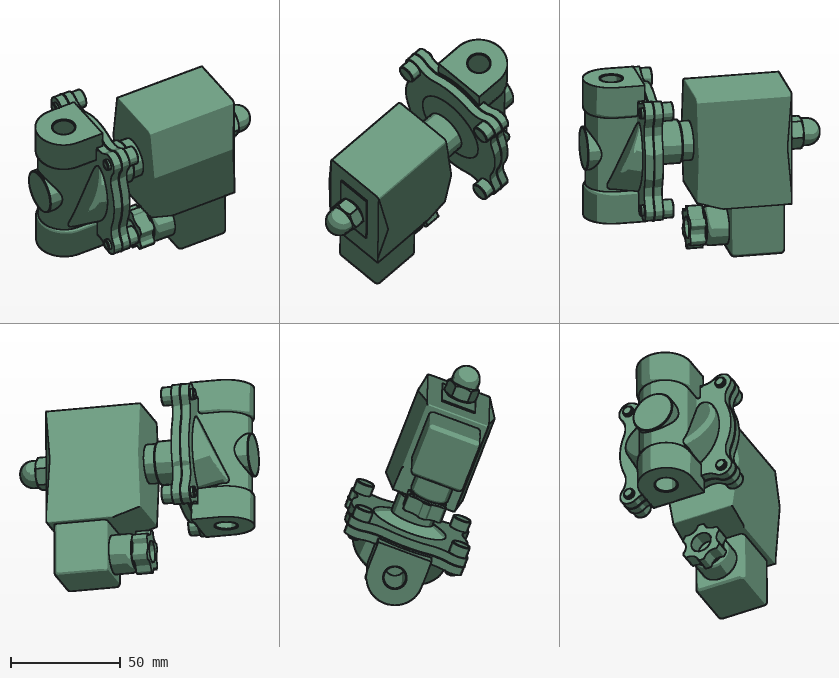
import cadquery as cq
import math

ROLL = 0.55

FLANGE_HALF_THICKNESS = 4.2
SCREW_OFFSET = 23.5
LOBE_RADIUS = 5.0
FLANGE_RADIUS = 28.4
WAIST_RADIUS = 9.9
GASKET_THICKNESS = 0.3
GASKET_OVERHANG = 0.2

BODY_FRONT_Y = -27.1
BLOCK_RADIUS = 13.0
BLOCK_BACK_Y = -1.1
BLOCK_END_Z = 33.0
BLOCK_SHOULDER_Z = 17.6
BLOCK_ROUND = 2.0
TUBE_RADIUS = 12.0
FLOW_AXIS_Y = BODY_FRONT_Y + BLOCK_RADIUS
PORT_DIAMETER = 10.0
PORT_CHAMFER = 0.4
PLUG_DIAMETER = 20.0
PLUG_CHAMFER = 0.3
FLANK_FILLET = 2.0
FLANK_TOP_Z = 24.9

SEAT_RADIUS = 22.4
SEAT_LEAN = 10.0
SEAT_LENGTH = 22.0
SEAT_FACE_TOP_Z = 15.7
SEAT_FACE_ANGLE = 25.5
SEAT_ROUND = 2.0

CONE_RADIUS = 17.6
CONE_END_Y = 7.2
COLLAR_DIAMETER = 20.0
COLLAR_END_Y = 17.5
COLLAR_CHAMFER = 0.7
NECK_DIAMETER = 18.0

COIL_FRONT_Y = 22.4
COIL_BACK_Y = 66.8
COIL_HALF_WIDTH = 18.7
COIL_END_HALF_WIDTH = 15.1
COIL_RIDGE_HALF_HEIGHT = 0.4
COIL_TOP_Z = 25.0
COIL_SHOULDER_Z = -25.2
COIL_FOOT_Z = -29.2
COIL_TOP_ROUND = 2.0
COIL_EDGE_ROUND = 0.5
COIL_BACK_CUT = 2.8
FOOT_SLOPE_LENGTH = 12.8
PLATE_WIDTH = 16.2
PLATE_HEIGHT = 30.1
PLATE_THICKNESS = 0.7

CONNECTOR_FRONT_Y = 38.9
CONNECTOR_BACK_Y = 64.1
CONNECTOR_WIDTH = 25.0
CONNECTOR_BOTTOM_Z = -54.0
CONNECTOR_ROUND = 2.0
GLAND_Z = -42.1
GLAND_DIAMETER = 18.0
GLAND_END_Y = 29.0
GLAND_ROUND = 2.0
GLAND_NECK_DIAMETER = 15.0
KNOB_BACK_Y = 28.0
KNOB_FRONT_Y = 20.9
KNOB_RADIUS = 10.0
KNOB_GRIPS = 6
KNOB_VALLEY_RADIUS = 7.8
KNOB_GRIP_DIAMETER = 10.0
KNOB_ROUND = 0.7
CABLE_DIAMETER = 10.0

SCREW_DIAMETER = 5.0
SCREW_TIP = 1.6
SCREW_TIP_CHAMFER = 0.4
SCREW_HEAD_DIAMETER = 8.5
SCREW_HEAD_HEIGHT = 5.1
SCREW_HEAD_CHAMFER = 0.3

NUT_START_Y = COIL_BACK_Y + PLATE_THICKNESS
NUT_FLATS = 13.2
NUT_HEX_END_Y = 74.4
NUT_SEAT_DIAMETER = 11.7
NUT_SEAT_HEIGHT = 0.4
NUT_DOME_DIAMETER = 12.5
NUT_TIP_Y = 82.9
NUT_CHAMFER_ANGLE = 30.0
STUD_DIAMETER = 6.6
STUD_LENGTH = 8.8


def section_at(y):
    """Workplane across the solenoid axis, with local axes along +X and +Z."""
    return cq.Workplane("XZ", origin=(0, y, 0))


def cylinder(y_from, y_to, diameter, x=0, z=0):
    """Round bar along the solenoid direction."""
    return section_at(y_to).center(x, z).circle(diameter / 2).extrude(y_to - y_from)


def box(x_range, y_range, z_range):
    corners = (x_range, y_range, z_range)
    sizes = [high - low for low, high in corners]
    return cq.Workplane().box(*sizes, centered=False).translate([low for low, high in corners])


def turned(profile):
    """Solid of revolution about the solenoid axis from (radius, y) points."""
    return cq.Workplane("XY").polyline(profile).close().revolve(360, (0, 0, 0), (0, 1, 0))




def polar(radius, angle):
    return (radius * math.cos(angle), radius * math.sin(angle))


def toward(start, end, length):
    """Point at a length from start on the way to end."""
    scale = length / math.dist(start, end)
    return tuple(a + (b - a) * scale for a, b in zip(start, end))


def swapped(point):
    """Mirror image of a point across the diagonal of the flange."""
    return (point[1], point[0])


def quarter_turned(point, quarters):
    for _ in range(quarters):
        point = (-point[1], point[0])
    return point


def flange_plate(y_from, y_to, overhang=0):
    """Four-lobed plate: screw lobes and four outer bulges joined by hollow waists."""
    diagonal = math.pi / 4
    lobe_distance = SCREW_OFFSET * math.sqrt(2)
    waist_distance = FLANGE_RADIUS + WAIST_RADIUS
    lobe_to_waist = LOBE_RADIUS + WAIST_RADIUS
    lobe_to_waist_angle = math.acos(
        (waist_distance**2 + lobe_distance**2 - lobe_to_waist**2) / (2 * waist_distance * lobe_distance)
    )
    waist_angle = diagonal - lobe_to_waist_angle

    lobe = (SCREW_OFFSET, SCREW_OFFSET)
    lobe_tip = polar(lobe_distance + LOBE_RADIUS, diagonal)
    waist = polar(waist_distance, waist_angle)
    waist_start = polar(FLANGE_RADIUS, waist_angle)
    waist_end = toward(lobe, waist, LOBE_RADIUS)
    chord_middle = [(a + b) / 2 for a, b in zip(waist_start, waist_end)]
    waist_middle = toward(waist, chord_middle, WAIST_RADIUS)

    quarter_arcs = [
        ((FLANGE_RADIUS, 0), waist_start),
        (waist_middle, waist_end),
        (lobe_tip, swapped(waist_end)),
        (swapped(waist_middle), swapped(waist_start)),
    ]
    outline = section_at(y_to).moveTo(*polar(FLANGE_RADIUS, -waist_angle))
    for quarters in range(4):
        for middle, end in quarter_arcs:
            outline = outline.threePointArc(
                quarter_turned(middle, quarters), quarter_turned(end, quarters)
            )
    outline = outline.close()
    if overhang:
        outline = outline.offset2D(overhang)
    return outline.extrude(y_to - y_from)


def flow_bar(radius, back_y, z_from, z_to):
    """Vertical D-shaped bar: round in front, flat-sided back to back_y."""
    return (
        cq.Workplane("XY", origin=(0, 0, z_from))
        .moveTo(-radius, back_y)
        .lineTo(-radius, FLOW_AXIS_Y)
        .threePointArc((0, FLOW_AXIS_Y - radius), (radius, FLOW_AXIS_Y))
        .lineTo(radius, back_y)
        .close()
        .extrude(z_to - z_from)
    )


def port_block():
    """Upper end block with a rounded shoulder."""
    block = flow_bar(BLOCK_RADIUS, BLOCK_BACK_Y, BLOCK_SHOULDER_Z, BLOCK_END_Z)
    return block.faces("<Z").edges("not >Y").fillet(BLOCK_ROUND)


def port():
    """Upper port bore down to the solenoid axis, with a chamfered mouth."""
    radius = PORT_DIAMETER / 2
    bore = cq.Workplane("XY", origin=(0, FLOW_AXIS_Y, 0)).circle(radius).extrude(BLOCK_END_Z)
    mouth = cq.Solid.makeCone(
        radius, radius + PORT_CHAMFER, PORT_CHAMFER, (0, FLOW_AXIS_Y, BLOCK_END_Z - PORT_CHAMFER)
    )
    return bore.union(cq.Workplane(mouth))


def seat_chamber():
    """Leaning round chamber cut by a slanted face, with a rounded rim."""
    lean = math.radians(SEAT_LEAN)
    axis = cq.Vector(0, -math.cos(lean), math.sin(lean))
    chamber = cq.Workplane(cq.Solid.makeCylinder(SEAT_RADIUS, SEAT_LENGTH, cq.Vector(), axis))
    reach = 3 * SEAT_RADIUS
    cutter = (
        cq.Workplane("XY")
        .box(reach, reach, 2 * reach, centered=(True, False, True))
        .translate((0, -reach, 0))
        .rotate((0, 0, 0), (1, 0, 0), -SEAT_FACE_ANGLE)
        .translate((0, -FLANGE_HALF_THICKNESS, SEAT_FACE_TOP_Z))
    )
    slanted = chamber.cut(cutter)
    angle = math.radians(SEAT_FACE_ANGLE)
    face_normal = cq.Vector(0, -math.cos(angle), math.sin(angle))
    slanted_face = slanted.faces(cq.selectors.DirectionMinMaxSelector(face_normal, True))
    return slanted_face.edges("not %LINE").fillet(SEAT_ROUND)


def flank_fillets():
    """Hollow fillets between the upper tube flanks and the flange face."""
    face_y = -FLANGE_HALF_THICKNESS
    toe_x = TUBE_RADIUS + FLANK_FILLET
    toe_y = face_y - FLANK_FILLET
    bow = FLANK_FILLET * math.sqrt(0.5)
    right = (
        cq.Workplane("XY")
        .moveTo(TUBE_RADIUS, toe_y)
        .threePointArc((toe_x - bow, toe_y + bow), (toe_x, face_y))
        .lineTo(TUBE_RADIUS, face_y)
        .close()
        .extrude(FLANK_TOP_Z)
    )
    return right.union(right.mirror("YZ"))


def valve_body():
    block = port_block()
    tube_end_z = BLOCK_SHOULDER_Z + BLOCK_ROUND
    body = flange_plate(-FLANGE_HALF_THICKNESS, FLANGE_HALF_THICKNESS)
    body = body.union(flange_plate(-GASKET_THICKNESS / 2, GASKET_THICKNESS / 2, GASKET_OVERHANG))
    body = body.union(flow_bar(TUBE_RADIUS, BLOCK_BACK_Y, -tube_end_z, tube_end_z))
    body = body.union(seat_chamber())
    body = body.union(flank_fillets())
    body = body.union(block).union(block.mirror("XY"))
    body = body.cut(port()).cut(port().mirror("XY"))
    plug = cylinder(BODY_FRONT_Y, 0, PLUG_DIAMETER).faces("<Y").chamfer(PLUG_CHAMFER)
    return body.union(plug)


def bonnet():
    """Cone, collar and armature neck up to the coil."""
    collar = COLLAR_DIAMETER / 2
    neck = NECK_DIAMETER / 2
    return turned(
        [
            (0, 0),
            (CONE_RADIUS, 0),
            (CONE_RADIUS, FLANGE_HALF_THICKNESS),
            (collar, CONE_END_Y),
            (collar, COLLAR_END_Y - COLLAR_CHAMFER),
            (collar - COLLAR_CHAMFER, COLLAR_END_Y),
            (neck, COLLAR_END_Y),
            (neck, COIL_FRONT_Y),
            (0, COIL_FRONT_Y),
        ]
    )


def coil():
    """Barrel-shaped block with a straight-sided foot and bevelled rear corners."""
    right_side = [
        (COIL_END_HALF_WIDTH, COIL_FOOT_Z),
        (COIL_END_HALF_WIDTH, COIL_SHOULDER_Z),
        (COIL_HALF_WIDTH, -COIL_RIDGE_HALF_HEIGHT),
        (COIL_HALF_WIDTH, COIL_RIDGE_HALF_HEIGHT),
        (COIL_END_HALF_WIDTH, COIL_TOP_Z),
    ]
    left_side = [(-x, z) for x, z in reversed(right_side)]
    block = section_at(COIL_BACK_Y).polyline(right_side + left_side).close()
    block = block.extrude(COIL_BACK_Y - COIL_FRONT_Y)
    block = block.edges("|Y").edges(">Z").fillet(COIL_TOP_ROUND)

    foot_slope = (
        cq.Workplane("YZ", origin=(-COIL_HALF_WIDTH, 0, 0))
        .moveTo(COIL_FRONT_Y, COIL_SHOULDER_Z)
        .lineTo(COIL_FRONT_Y + FOOT_SLOPE_LENGTH, COIL_FOOT_Z)
        .lineTo(COIL_FRONT_Y, COIL_FOOT_Z)
        .close()
        .extrude(2 * COIL_HALF_WIDTH)
    )
    back_bevel = (
        cq.Workplane("XY", origin=(0, 0, COIL_FOOT_Z))
        .moveTo(COIL_HALF_WIDTH, COIL_BACK_Y - COIL_BACK_CUT)
        .lineTo(COIL_END_HALF_WIDTH, COIL_BACK_Y)
        .lineTo(COIL_HALF_WIDTH, COIL_BACK_Y)
        .close()
        .extrude(COIL_TOP_Z - COIL_FOOT_Z)
    )
    block = block.cut(foot_slope).cut(back_bevel).cut(back_bevel.mirror("YZ"))
    block = block.faces("<Y or <Z").edges().fillet(COIL_EDGE_ROUND)
    plate = box(
        (-PLATE_WIDTH / 2, PLATE_WIDTH / 2),
        (COIL_BACK_Y, NUT_START_Y),
        (-PLATE_HEIGHT / 2, PLATE_HEIGHT / 2),
    )
    return block.union(plate)


def connector():
    """Plug housing under the coil."""
    half = CONNECTOR_WIDTH / 2
    housing = box(
        (-half, half),
        (CONNECTOR_FRONT_Y, CONNECTOR_BACK_Y),
        (CONNECTOR_BOTTOM_Z, COIL_FOOT_Z),
    )
    return housing.edges("|Z").fillet(CONNECTOR_ROUND).faces("<Z").edges().fillet(CONNECTOR_ROUND)


def cable_gland():
    """Round gland with a six-grip knob and a cable bore."""
    sleeve = cylinder(GLAND_END_Y, CONNECTOR_FRONT_Y, GLAND_DIAMETER, z=GLAND_Z)
    sleeve = sleeve.faces("<Y").edges().fillet(GLAND_ROUND)
    neck = cylinder(KNOB_BACK_Y, GLAND_END_Y, GLAND_NECK_DIAMETER, z=GLAND_Z)
    knob = cylinder(KNOB_FRONT_Y, KNOB_BACK_Y, 2 * KNOB_RADIUS, z=GLAND_Z)
    grip_distance = KNOB_VALLEY_RADIUS + KNOB_GRIP_DIAMETER / 2
    for grip in range(KNOB_GRIPS):
        angle = math.tau * grip / KNOB_GRIPS
        knob = knob.cut(
            cylinder(
                KNOB_FRONT_Y,
                KNOB_BACK_Y,
                KNOB_GRIP_DIAMETER,
                grip_distance * math.cos(angle),
                GLAND_Z + grip_distance * math.sin(angle),
            )
        )
    knob = knob.edges("|Y").fillet(KNOB_ROUND)
    knob = knob.cut(cylinder(KNOB_FRONT_Y, KNOB_BACK_Y, CABLE_DIAMETER, z=GLAND_Z))
    return sleeve.union(neck).union(knob)


def make_valve_unit(screws, nut_stud):
    unit = valve_body().union(bonnet()).union(coil())
    unit = unit.union(connector()).union(cable_gland()).union(nut_stud)
    for screw in screws:
        unit = unit.cut(screw)
    return unit




def make_screw(x, z):
    """Flange screw with its head behind the flange and a chamfered tip in front."""
    tip_y = -FLANGE_HALF_THICKNESS - SCREW_TIP
    head_y = FLANGE_HALF_THICKNESS + SCREW_HEAD_HEIGHT
    shank = cylinder(tip_y, FLANGE_HALF_THICKNESS, SCREW_DIAMETER, x, z)
    shank = shank.faces("<Y").chamfer(SCREW_TIP_CHAMFER)
    head = cylinder(FLANGE_HALF_THICKNESS, head_y, SCREW_HEAD_DIAMETER, x, z)
    head = head.faces(">Y").chamfer(SCREW_HEAD_CHAMFER)
    return shank.union(head)


def make_nut_stud():
    """Stud that carries the cap nut."""
    return cylinder(COIL_BACK_Y, NUT_START_Y + STUD_LENGTH, STUD_DIAMETER)


def make_cap_nut(stud):
    """Hexagon nut chamfered at both ends, with a domed cap."""
    corner = NUT_FLATS / math.sqrt(3)
    seat = NUT_SEAT_DIAMETER / 2
    dome = NUT_DOME_DIAMETER / 2
    hex_start_y = NUT_START_Y + NUT_SEAT_HEIGHT
    chamfer_height = (corner - dome) * math.tan(math.radians(NUT_CHAMFER_ANGLE))
    hexagon = section_at(NUT_HEX_END_Y).polygon(6, 2 * corner).extrude(NUT_HEX_END_Y - NUT_START_Y)
    envelope = turned(
        [
            (0, NUT_START_Y),
            (seat, NUT_START_Y),
            (seat, hex_start_y),
            (dome, hex_start_y),
            (corner, hex_start_y + chamfer_height),
            (corner, NUT_HEX_END_Y - chamfer_height),
            (dome, NUT_HEX_END_Y),
            (0, NUT_HEX_END_Y),
        ]
    )
    dome_y = NUT_TIP_Y - dome
    cap = cylinder(NUT_HEX_END_Y, dome_y, NUT_DOME_DIAMETER)
    ball = cq.Workplane("XY").sphere(dome).translate((0, dome_y, 0))
    return hexagon.intersect(envelope).union(cap).union(ball).cut(stud)




def placed(body):
    return body.rotate((0, 0, 0), (0, 1, 0), -ROLL).val()


screws = [
    make_screw(x, z)
    for x in (-SCREW_OFFSET, SCREW_OFFSET)
    for z in (-SCREW_OFFSET, SCREW_OFFSET)
]
nut_stud = make_nut_stud()
cap_nut = make_cap_nut(nut_stud)
valve_unit = make_valve_unit(screws, nut_stud)

result = cq.Compound.makeCompound(
    [placed(valve_unit), placed(cap_nut), *[placed(screw) for screw in screws]]
)